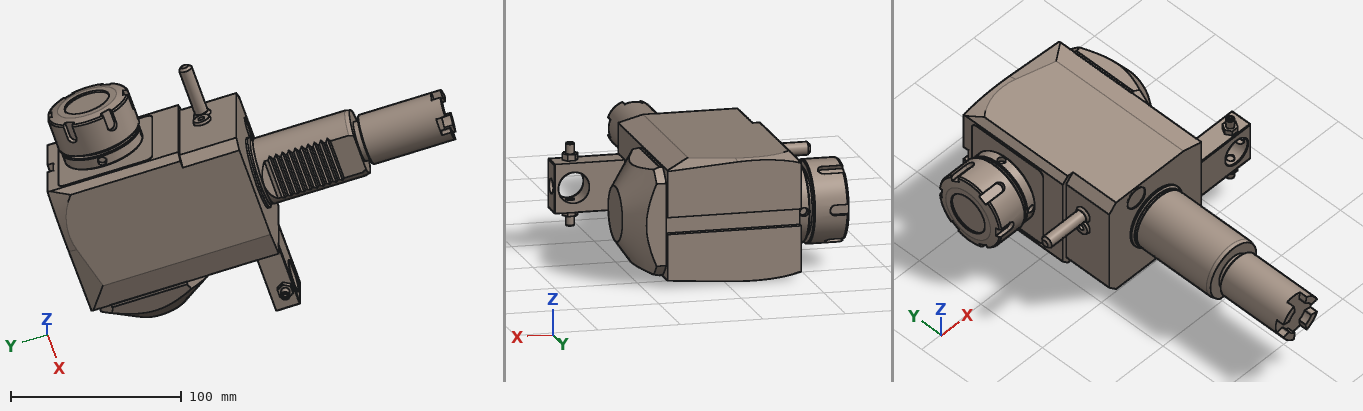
import cadquery as cq
import math


HEIGHT = 75.0
HALF_HEIGHT = HEIGHT / 2
HOUSING_LENGTH = 115.8
STEP_Y = 35.0
REAR_LEFT_X = -42.0
REAR_CHAMFER = 4.2
FRONT_LEFT_X = -39.2
FRONT_CHAMFER = 5.8
RIGHT_X = 38.8
TAPER_START_X = 23.5
SLOPE = math.radians(15)
CROWN_RADIUS = 37.8
CROWN_X = -13.0
CROWN_Y = 112.0
KEYWAY_WIDTH = 10.3
KEYWAY_DEPTH = 3.7
RECESS_X = -16.0
RECESS_Z = 27.8
RECESS_RADIUS = 7.5
RECESS_DEPTH = 0.7
FAR = 93.5

COVER_HEIGHT = 62.5
COVER_FRONT_Y = 51.0
COVER_REAR_Y = 109.0
COVER_CORNER = 4.2
SEAM = 0.12

SPINDLE_Y = 80.3
NUT_FACE_X = -75.2
NUT_EDGE_X = -73.8
NUT_SHOULDER_X = -72.6
NUT_BACK_X = -52.5
NUT_RADIUS = 25.0
NUT_EDGE_RADIUS = 24.3
NUT_FACE_RADIUS = 18.2
COLLET_RADIUS = 13.8
COLLET_DEPTH = 1.2
NECK_RADIUS = 20.3
RING_FRONT_X = -50.5
RING_BACK_X = -43.0
RING_RADIUS = 24.0
EDGE_CHAMFER = 0.7
RING_HOLE_RADIUS = 2.5
RING_HOLE_DEPTH = 3.5
SLOT_WIDTH = 6.3
SLOT_FLOOR_RADIUS = 22.0
SHORT_SLOT_END_X = -62.4
LONG_SLOT_END_X = -58.2
CAP_RADIUS = 40.2
CAP_EDGE_X = 44.5
CAP_END_X = 61.5
CAP_END_RADIUS = 16.5
CAP_REAR_Y = 111.9
CAP_GROOVE_WIDTH = 1.9
CAP_GROOVE_DEPTH = 0.2

SHANK_RADIUS = 20.0
SHANK_END_Y = -63.3
SHANK_CHAMFER_LENGTH = 2.8
SHANK_END_RADIUS = 19.5
COLLAR_RADIUS = 21.5
COLLAR_EDGE_Y = -1.2
COLLAR_END_Y = -2.0
UNDERCUT_END_Y = -3.7
UNDERCUT_RADIUS = 19.6
TANG_NECK_RADIUS = 12.1
TANG_START_Y = -66.8
TANG_RADIUS = 15.2
TANG_CHAMFER = 0.7
TANG_FACE_Y = -112.3
OVERALL_LENGTH = 233.5
TIP_Y = HOUSING_LENGTH - OVERALL_LENGTH
TEETH_BORE_RADIUS = 10.3
GAP_INNER_WIDTH = 9.0
GAP_OUTER_WIDTH = 11.2

RACK_Z = -15.6
RACK_START_Y = -8.5
NOTCH_COUNT = 10
NOTCH_FIRST_Y = -12.1
NOTCH_PITCH = 4.0
NOTCH_DEPTH = 1.5

PIN_Y = 21.0
PIN_Z = 16.0
PIN_RADIUS = 4.0
PIN_END_X = -71.7
PIN_CHAMFER = 1.6
BOSS_RADIUS = 5.4
BOSS_HEIGHT = 1.9
PIN_BOSS_TOP_RADIUS = 4.2
NOZZLE_Z = 6.3
NOZZLE_TOP_RADIUS = 5.0
NOZZLE_BORE_RADIUS = 1.9
NOZZLE_BORE_DEPTH = 2.8

ARM_END_X = 81.5
ARM_FRONT_Y = 1.0
ARM_REAR_Y = 15.9
ARM_HALF_HEIGHT = 15.0
ARM_CHAMFER = 0.5
ARM_HOLE_X = 69.5
ARM_HOLE_RADIUS = 9.3
END_HOLE_RADIUS = 4.5
SCREW_Y = 6.3
SCREW_RADIUS = 2.5
SCREW_END_Z = 25.0
SCREW_TIP_Z = 10.0
SCREW_CHAMFER = 0.5
SOCKET_DIAMETER = 3.0
SOCKET_DEPTH = 1.9
HEX_NUT_DIAMETER = 9.3
HEX_NUT_HEIGHT = 3.7


def box(x_range, y_range, z_range):
    """Box between two limits on each axis."""
    sizes = [high - low for low, high in (x_range, y_range, z_range)]
    corner = (x_range[0], y_range[0], z_range[0])
    return cq.Workplane("XY").box(*sizes, centered=False).translate(corner)


def x_cylinder(x_start, x_end, y, z, radius):
    """Round bar along X."""
    return cq.Workplane("YZ", origin=(x_start, y, z)).circle(radius).extrude(x_end - x_start)


def tapered_prism(y_start, y_end, left_x, chamfer, right_x):
    """Bar along Y with a chamfered left side and a right side that slopes inwards."""
    right_z = HALF_HEIGHT - (right_x - TAPER_START_X) * math.tan(SLOPE)
    top = [
        (left_x, HALF_HEIGHT - chamfer),
        (left_x + chamfer, HALF_HEIGHT),
        (TAPER_START_X, HALF_HEIGHT),
        (right_x, right_z),
    ]
    bottom = [(x, -z) for x, z in reversed(top)]
    plane = cq.Workplane("XZ", origin=(0, y_end, 0))
    return plane.polyline(top + bottom).close().extrude(y_end - y_start)


def crown_envelope():
    """Space under the sloping rear faces: an arc that runs on into a straight line."""
    centre_y = CROWN_Y - CROWN_RADIUS
    left_x = CROWN_X - CROWN_RADIUS
    tangent_x = CROWN_X + CROWN_RADIUS * math.sin(SLOPE)
    tangent_y = centre_y + CROWN_RADIUS * math.cos(SLOPE)
    line_end_y = tangent_y - (FAR - tangent_x) * math.tan(SLOPE)
    slant_y = HALF_HEIGHT / math.tan(SLOPE)
    front_y = -FAR - slant_y
    outline = (
        cq.Workplane("XY", origin=(0, 0, HALF_HEIGHT))
        .moveTo(left_x, front_y)
        .lineTo(left_x, centre_y)
        .threePointArc((CROWN_X, CROWN_Y), (tangent_x, tangent_y))
        .lineTo(FAR, line_end_y)
        .lineTo(FAR, front_y)
        .close()
    )
    slant = cq.Vector(0, slant_y, -HALF_HEIGHT)
    upper = cq.Workplane(cq.Solid.extrudeLinear(outline.val(), [], slant))
    return upper.union(upper.mirror("XY"))


def make_housing():
    front = tapered_prism(0, STEP_Y, FRONT_LEFT_X, FRONT_CHAMFER, RIGHT_X)
    rear = tapered_prism(STEP_Y, HOUSING_LENGTH, REAR_LEFT_X, REAR_CHAMFER, RIGHT_X)
    housing = front.union(rear).intersect(crown_envelope())
    keyway = box(
        (-FAR, FAR),
        (HOUSING_LENGTH - KEYWAY_DEPTH, HOUSING_LENGTH),
        (-KEYWAY_WIDTH / 2, KEYWAY_WIDTH / 2),
    )
    recess = (
        cq.Workplane("XZ", origin=(RECESS_X, 0, RECESS_Z)).circle(RECESS_RADIUS).extrude(-RECESS_DEPTH)
    )
    return housing.cut(keyway).cut(recess)


def cover_block(inset):
    """Rounded block at the left face, smaller than the cover by the inset."""
    length = COVER_REAR_Y - COVER_FRONT_Y - 2 * inset
    height = COVER_HEIGHT - 2 * inset
    centre = (REAR_LEFT_X, (COVER_FRONT_Y + COVER_REAR_Y) / 2, 0)
    block = cq.Workplane("YZ", origin=centre).rect(length, height).extrude(SEAM)
    return block.edges("|X").fillet(COVER_CORNER - inset)


def make_spindle():
    """Collet nut, neck and ring turned about the spindle axis."""
    profile = [
        (RIGHT_X, 0),
        (NUT_FACE_X + COLLET_DEPTH, 0),
        (NUT_FACE_X + COLLET_DEPTH, COLLET_RADIUS),
        (NUT_FACE_X, COLLET_RADIUS),
        (NUT_FACE_X, NUT_FACE_RADIUS),
        (NUT_EDGE_X, NUT_EDGE_RADIUS),
        (NUT_SHOULDER_X, NUT_RADIUS),
        (NUT_BACK_X - EDGE_CHAMFER, NUT_RADIUS),
        (NUT_BACK_X, NUT_RADIUS - EDGE_CHAMFER),
        (NUT_BACK_X, NECK_RADIUS),
        (RING_FRONT_X, NECK_RADIUS),
        (RING_FRONT_X, RING_RADIUS - EDGE_CHAMFER),
        (RING_FRONT_X + EDGE_CHAMFER, RING_RADIUS),
        (RING_BACK_X - EDGE_CHAMFER, RING_RADIUS),
        (RING_BACK_X, RING_RADIUS - EDGE_CHAMFER),
        (RING_BACK_X, NECK_RADIUS),
        (RIGHT_X, NECK_RADIUS),
    ]
    spindle = cq.Workplane("XY").polyline(profile).close().revolve(360, (0, 0, 0), (1, 0, 0))

    for angle in range(0, 360, 60):
        end_x = LONG_SLOT_END_X if angle in (60, 120) else SHORT_SLOT_END_X
        round_x = end_x - SLOT_WIDTH / 2
        slot = (
            cq.Workplane("XY", origin=(0, 0, SLOT_FLOOR_RADIUS))
            .moveTo(-FAR, -SLOT_WIDTH / 2)
            .lineTo(round_x, -SLOT_WIDTH / 2)
            .threePointArc((end_x, 0), (round_x, SLOT_WIDTH / 2))
            .lineTo(-FAR, SLOT_WIDTH / 2)
            .close()
            .extrude(NUT_RADIUS)
        )
        spindle = spindle.cut(slot.rotate((0, 0, 0), (1, 0, 0), angle - 90))

    ring_x = (RING_FRONT_X + RING_BACK_X) / 2
    for angle in range(0, 360, 90):
        hole = (
            cq.Workplane("XY", origin=(ring_x, 0, RING_RADIUS - RING_HOLE_DEPTH))
            .circle(RING_HOLE_RADIUS)
            .extrude(2 * RING_HOLE_DEPTH)
        )
        spindle = spindle.cut(hole.rotate((0, 0, 0), (1, 0, 0), angle))
    return spindle.translate((0, SPINDLE_Y, 0))


def make_cap():
    """Conical cap on the right, trimmed by the housing's slopes and a flat rear side."""
    profile = [
        (0, 0),
        (0, CAP_RADIUS),
        (CAP_EDGE_X, CAP_RADIUS),
        (CAP_END_X, CAP_END_RADIUS),
        (CAP_END_X, 0),
    ]
    cap = cq.Workplane("XY").polyline(profile).close().revolve(360, (0, 0, 0), (1, 0, 0))
    envelope = tapered_prism(0, CAP_REAR_Y, 0, REAR_CHAMFER, FAR)
    cap = cap.translate((0, SPINDLE_Y, 0)).intersect(envelope)

    groove_end_x = RIGHT_X + CAP_GROOVE_WIDTH
    groove_z = HALF_HEIGHT - (groove_end_x - TAPER_START_X) * math.tan(SLOPE) - CAP_GROOVE_DEPTH
    groove = box((RIGHT_X, groove_end_x), (0, HOUSING_LENGTH), (groove_z, FAR))
    return cap.cut(groove).cut(groove.mirror("XY"))


def make_shank():
    profile = [
        (0, KEYWAY_DEPTH),
        (COLLAR_RADIUS, KEYWAY_DEPTH),
        (COLLAR_RADIUS, COLLAR_EDGE_Y),
        (SHANK_RADIUS, COLLAR_END_Y),
        (UNDERCUT_RADIUS, COLLAR_END_Y),
        (UNDERCUT_RADIUS, UNDERCUT_END_Y),
        (SHANK_RADIUS, UNDERCUT_END_Y),
        (SHANK_RADIUS, SHANK_END_Y + SHANK_CHAMFER_LENGTH),
        (SHANK_END_RADIUS, SHANK_END_Y),
        (TANG_NECK_RADIUS, SHANK_END_Y),
        (TANG_NECK_RADIUS, TANG_START_Y),
        (TANG_RADIUS - TANG_CHAMFER, TANG_START_Y),
        (TANG_RADIUS, TANG_START_Y - TANG_CHAMFER),
        (TANG_RADIUS, TIP_Y),
        (0, TIP_Y),
    ]
    shank = cq.Workplane("XY").polyline(profile).close().revolve(360, (0, 0, 0), (0, 1, 0))
    return shank.cut(rack_cut()).cut(teeth_cut())


def rack_cut():
    """Flat with a 45 degree run-in and a row of V notches along the underside of the shank."""
    run_in = COLLAR_RADIUS + RACK_Z
    outline = [
        (RACK_START_Y + run_in, -COLLAR_RADIUS),
        (RACK_START_Y, RACK_Z),
    ]
    for index in range(NOTCH_COUNT):
        notch_y = NOTCH_FIRST_Y - index * NOTCH_PITCH
        outline += [
            (notch_y + NOTCH_DEPTH, RACK_Z),
            (notch_y, RACK_Z + NOTCH_DEPTH),
            (notch_y - NOTCH_DEPTH, RACK_Z),
        ]
    outline += [(SHANK_END_Y, RACK_Z), (SHANK_END_Y, -COLLAR_RADIUS)]
    return cq.Workplane("YZ").polyline(outline).close().extrude(COLLAR_RADIUS, both=True)


def teeth_cut():
    """Space between the four driving teeth at the end of the tang."""
    depth = TANG_FACE_Y - TIP_Y
    plane = cq.Workplane("XZ", origin=(0, TANG_FACE_Y, 0))
    space = plane.circle(TEETH_BORE_RADIUS).extrude(depth)
    gap_outline = [
        (-GAP_INNER_WIDTH / 2, 0),
        (-GAP_INNER_WIDTH / 2, TEETH_BORE_RADIUS),
        (-GAP_OUTER_WIDTH / 2, TANG_RADIUS),
        (GAP_OUTER_WIDTH / 2, TANG_RADIUS),
        (GAP_INNER_WIDTH / 2, TEETH_BORE_RADIUS),
        (GAP_INNER_WIDTH / 2, 0),
    ]
    gap = plane.polyline(gap_outline).close().extrude(depth)
    for angle in range(0, 360, 90):
        space = space.union(gap.rotate((0, 0, 0), (0, 1, 0), angle))
    return space


def make_boss(z, top_radius):
    """Low cone on the stepped part of the left face."""
    base = cq.Vector(FRONT_LEFT_X, PIN_Y, z)
    return cq.Workplane(cq.Solid.makeCone(BOSS_RADIUS, top_radius, BOSS_HEIGHT, base, cq.Vector(-1, 0, 0)))


def make_pin():
    pin = x_cylinder(PIN_END_X, FRONT_LEFT_X, PIN_Y, PIN_Z, PIN_RADIUS)
    return pin.faces("<X").chamfer(PIN_CHAMFER).union(make_boss(PIN_Z, PIN_BOSS_TOP_RADIUS))


def make_nozzle_bore():
    start_x = FRONT_LEFT_X - BOSS_HEIGHT
    return x_cylinder(start_x, start_x + NOZZLE_BORE_DEPTH, PIN_Y, NOZZLE_Z, NOZZLE_BORE_RADIUS)


def make_arm():
    """Arm with a through hole, a cross hole in its end and a clamping screw above and below."""
    arm = box(
        (RIGHT_X - ARM_CHAMFER, ARM_END_X),
        (ARM_FRONT_Y, ARM_REAR_Y),
        (-ARM_HALF_HEIGHT, ARM_HALF_HEIGHT),
    )
    arm = arm.faces(">X or <Y").chamfer(ARM_CHAMFER)
    hole_plane = cq.Workplane("XZ", origin=(ARM_HOLE_X, ARM_REAR_Y, 0))
    arm = arm.cut(hole_plane.circle(ARM_HOLE_RADIUS).extrude(ARM_REAR_Y - ARM_FRONT_Y))
    rim = cq.Solid.makeCone(
        ARM_HOLE_RADIUS + ARM_CHAMFER,
        ARM_HOLE_RADIUS,
        ARM_CHAMFER,
        cq.Vector(ARM_HOLE_X, ARM_FRONT_Y, 0),
        cq.Vector(0, 1, 0),
    )
    arm_middle_y = (ARM_FRONT_Y + ARM_REAR_Y) / 2
    end_hole = x_cylinder(ARM_HOLE_X, ARM_END_X, arm_middle_y, 0, END_HOLE_RADIUS)
    screw_hole = (
        cq.Workplane("XY", origin=(ARM_HOLE_X, SCREW_Y, -SCREW_TIP_Z))
        .circle(SCREW_RADIUS)
        .extrude(2 * SCREW_TIP_Z)
    )
    arm = arm.cut(cq.Workplane(rim)).cut(end_hole).cut(screw_hole)
    screw = make_screw()
    return arm.union(screw).union(screw.mirror("XY"))


def make_screw():
    """Upper set screw with its lock nut and hexagon socket."""
    shaft = (
        cq.Workplane("XY", origin=(ARM_HOLE_X, SCREW_Y, SCREW_TIP_Z))
        .circle(SCREW_RADIUS)
        .extrude(SCREW_END_Z - SCREW_TIP_Z)
        .faces(">Z")
        .chamfer(SCREW_CHAMFER)
    )
    nut = (
        cq.Workplane("XY", origin=(ARM_HOLE_X, SCREW_Y, ARM_HALF_HEIGHT))
        .polygon(6, HEX_NUT_DIAMETER)
        .extrude(HEX_NUT_HEIGHT)
    )
    socket = (
        cq.Workplane("XY", origin=(ARM_HOLE_X, SCREW_Y, SCREW_END_Z))
        .polygon(6, SOCKET_DIAMETER)
        .extrude(-SOCKET_DEPTH)
    )
    return shaft.union(nut).cut(socket)


seam = cover_block(0).cut(cover_block(SEAM))
features = [
    make_spindle(),
    make_cap(),
    make_shank(),
    make_pin(),
    make_boss(NOZZLE_Z, NOZZLE_TOP_RADIUS),
    make_arm(),
]
result = make_housing().cut(seam)
for feature in features:
    result = result.union(feature)
result = result.cut(make_nozzle_bore())